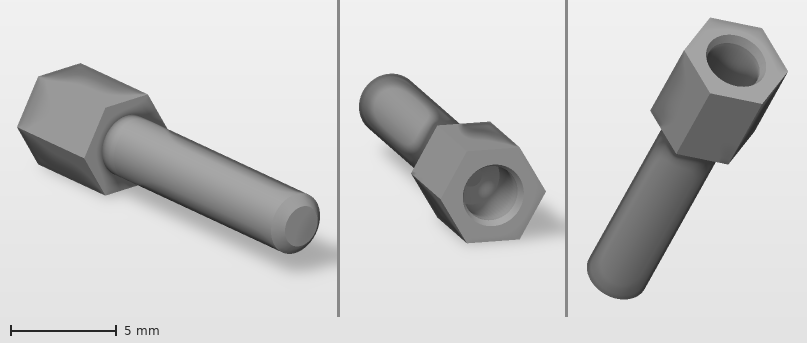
import cadquery as cq
import math

total_length = 18.0
head_length = 5.0
neck_length = 0.86
shank_start = head_length + neck_length

head_across_flats = 4.5
head_across_corners = head_across_flats / math.cos(math.radians(30))

shank_diameter = 3.0
tip_diameter = 2.0
tip_chamfer_length = 0.43

mouth_diameter = shank_diameter
mouth_length = 0.43
bore_diameter = 2.65
bore_end = 3.5
bottom_diameter = 1.03
bottom_half_angle = 75.0
bottom_length = (bore_diameter - bottom_diameter) / 2 / math.tan(math.radians(bottom_half_angle))


def make_hole():
    """Solid of revolution about X that fills the blind hole."""
    profile = [
        (0, 0),
        (0, mouth_diameter / 2),
        (mouth_length, bore_diameter / 2),
        (bore_end, bore_diameter / 2),
        (bore_end + bottom_length, bottom_diameter / 2),
        (bore_end + bottom_length, 0),
    ]
    return cq.Workplane("XY").polyline(profile).close().revolve(360, (0, 0, 0), (1, 0, 0))


def make_hex_head():
    """Hex prism with corners on the Y axis, flats above and below, and the blind hole."""
    prism = cq.Workplane("YZ").polygon(6, head_across_corners).extrude(head_length)
    return prism.cut(make_hole())


def make_neck():
    """Plain collar between the head and the shank."""
    return cq.Workplane("YZ", origin=(head_length, 0, 0)).circle(shank_diameter / 2).extrude(neck_length)


def make_shank():
    """Long round shank with a tapered tip."""
    profile = [
        (shank_start, 0),
        (shank_start, shank_diameter / 2),
        (total_length - tip_chamfer_length, shank_diameter / 2),
        (total_length, tip_diameter / 2),
        (total_length, 0),
    ]
    return cq.Workplane("XY").polyline(profile).close().revolve(360, (0, 0, 0), (1, 0, 0))


hex_head = make_hex_head()
neck = make_neck()
shank = make_shank()

result = cq.Compound.makeCompound([hex_head.val(), neck.val(), shank.val()])